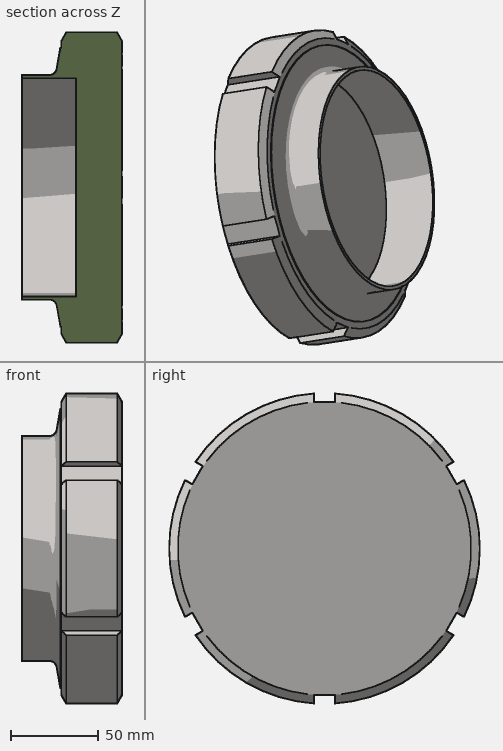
import cadquery as cq
import math

tube_outer_radius = 129 / 2
bore_radius = 125 / 2
bore_depth = 31.0

collar_radius = 160 / 2
collar_rim_x = 22.0
collar_angle = math.radians(10)
neck_fillet_radius = 4.0

nut_radius = 178 / 2
nut_start_x = 22.5
nut_width = 35.0
nut_end_x = nut_start_x + nut_width
chamfer_height = 5.0
chamfer_width = chamfer_height * math.tan(math.radians(30))

slot_count = 6
slot_width = 12.0
slot_floor_radius = nut_radius - chamfer_height


def make_tube_and_collar():
    """Solid of revolution: straight tube, rounded neck and shallow cone."""
    corner_x = collar_rim_x - (collar_radius - tube_outer_radius) * math.tan(collar_angle)
    turn_angle = math.pi / 2 - collar_angle
    tangent_length = neck_fillet_radius * math.tan(turn_angle / 2)
    fillet_start_x = corner_x - tangent_length
    fillet_centre_radius = tube_outer_radius + neck_fillet_radius

    def fillet_point(angle):
        x = fillet_start_x + neck_fillet_radius * math.sin(angle)
        radius = fillet_centre_radius - neck_fillet_radius * math.cos(angle)
        return (x, radius)

    return (
        cq.Workplane("XY")
        .moveTo(0, 0)
        .lineTo(0, tube_outer_radius)
        .lineTo(fillet_start_x, tube_outer_radius)
        .threePointArc(fillet_point(turn_angle / 2), fillet_point(turn_angle))
        .lineTo(collar_rim_x, collar_radius)
        .lineTo(nut_end_x, collar_radius)
        .lineTo(nut_end_x, 0)
        .close()
        .revolve(360, (0, 0, 0), (1, 0, 0))
    )


def make_nut():
    """Round disc with a 30 degree chamfer on both rims."""
    face_radius = nut_radius - chamfer_height
    return (
        cq.Workplane("XY")
        .moveTo(nut_start_x, 0)
        .lineTo(nut_start_x, face_radius)
        .lineTo(nut_start_x + chamfer_width, nut_radius)
        .lineTo(nut_end_x - chamfer_width, nut_radius)
        .lineTo(nut_end_x, face_radius)
        .lineTo(nut_end_x, 0)
        .close()
        .revolve(360, (0, 0, 0), (1, 0, 0))
    )


def make_slot_cutter(angle):
    """Flat-floored block across the nut rim; angle 0 puts it on +Z."""
    cutter_height = 2 * chamfer_height
    return (
        cq.Workplane("XY")
        .box(nut_width, slot_width, cutter_height, centered=(False, True, False))
        .translate((nut_start_x, 0, slot_floor_radius))
        .rotate((0, 0, 0), (1, 0, 0), angle)
    )


def make_bore():
    """Blind bore from the open end of the tube."""
    return cq.Workplane("YZ").circle(bore_radius).extrude(bore_depth)


nut = make_nut()
for slot_index in range(slot_count):
    nut = nut.cut(make_slot_cutter(slot_index * 360 / slot_count))

result = make_tube_and_collar().union(nut).cut(make_bore())